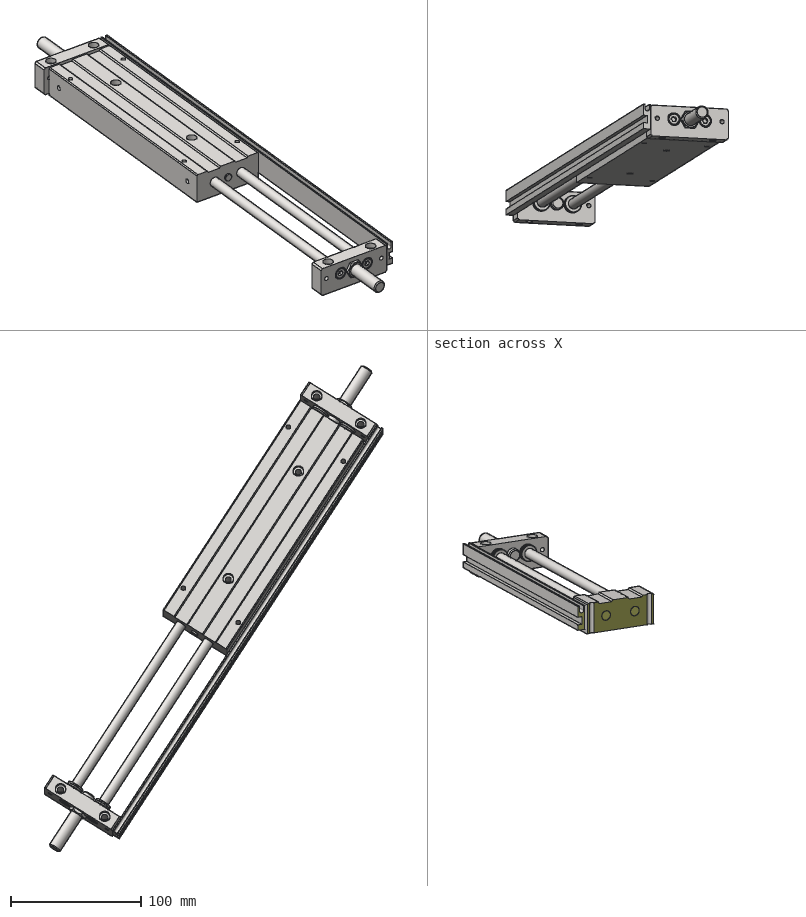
import cadquery as cq
import math


axis_y = -3.0
axis_z = 1.05
rod_diameter = 8.0
rod_offset = 12.5
rod_places = [axis_y - rod_offset, axis_y + rod_offset]

hexagon_sides = 6

plate_thickness = 12.0
plate_outer_x = 189.0
plate_inner_x = plate_outer_x - plate_thickness
plate_width = 62.0
plate_bottom_z = -13.0
plate_height = 24.0
plate_top_z = plate_bottom_z + plate_height
plate_chamfer = 1.5
plate_middle_x = plate_outer_x - plate_thickness / 2
mount_offset = 20.0
mount_diameter = 5.0
mount_bore_diameter = 8.0
mount_bore_depth = 4.5
side_hole_offset = 26.0
side_hole_diameter = 3.3

screw_bore_diameter = 10.0
screw_bore_depth = 2.5
screw_head_diameter = 8.0
screw_socket_diameter = 4.2

collar_diameter = 13.0
collar_length = 4.0
collar_groove_diameter = 11.5
collar_groove_width = collar_length / 3

rail_end_setback = 0.5
rail_length = 2 * (plate_outer_x - rail_end_setback)
rail_inner_y = axis_y + plate_width / 2
rail_outer_y = 34.0
rail_top_z = 11.5
rail_bottom_z = -7.5
rail_slot_depth = 3.0
rail_slot_height = 6.0
rail_groove_diameter = 3.3
rail_groove_y = 31.0
rail_groove_z = 8.0

housing_left_x = collar_length - plate_inner_x
housing_length = 195.5
housing_middle_x = housing_left_x + housing_length / 2
housing_width = 58.0
housing_bottom_z = -11.5
housing_top_z = 13.0
housing_chamfer = 1.0
recess_depth = 1.5
recess_inner = 6.5
recess_outer = 19.0
recess_slope = 1.0
centre_hole_pitch = 100.0
centre_hole_diameter = 4.5
centre_bore_diameter = 8.0
centre_bore_depth = 4.5
corner_hole_pitch_x = 150.0
corner_hole_pitch_y = 50.0
corner_hole_diameter = 3.4
flank_hole_pitch = 170.0
flank_hole_diameter = 3.7
flank_hole_depth = 6.5
stop_diameter = 6.0
stop_length = 1.5

shock_diameter = 10.0
shock_outer_x = 223.5
shock_length = shock_outer_x - plate_inner_x + collar_length
shock_chamfer = 1.0
nut_across_flats = 13.0
nut_thickness = 2.5
nut_chamfer = 1.5


def cylinder_x(diameter, start_x, length, y, z=axis_z):
    """Cylinder along +X that starts at start_x."""
    return (
        cq.Workplane("YZ", origin=(start_x, y, z))
        .circle(diameter / 2)
        .extrude(length)
    )


def cylinder_y(diameter, x, start_y, length, z):
    """Cylinder along +Y that starts at start_y."""
    return (
        cq.Workplane("XZ", origin=(x, start_y, z))
        .circle(diameter / 2)
        .extrude(-length)
    )


def stepped_hole(x, y, top_z, diameter, bore_diameter, bore_depth, depth):
    """Cutter for a vertical hole with a counterbore at its top."""
    hole = cq.Workplane("XY", origin=(x, y, top_z)).circle(diameter / 2).extrude(-depth)
    bore = cq.Workplane("XY", origin=(x, y, top_z)).circle(bore_diameter / 2).extrude(-bore_depth)
    return hole.union(bore)


def make_end_plate():
    """Right-hand end plate with its rod screws and collars."""
    plate = (
        cq.Workplane("XY", origin=(plate_middle_x, axis_y, plate_bottom_z))
        .box(plate_thickness, plate_width, plate_height, centered=(True, True, False))
        .edges("|X")
        .chamfer(plate_chamfer)
    )
    plate = plate.cut(cylinder_x(shock_diameter, plate_inner_x, plate_thickness, axis_y))
    for side in (-1, 1):
        plate = plate.cut(stepped_hole(
            plate_middle_x, axis_y + side * mount_offset, plate_top_z,
            mount_diameter, mount_bore_diameter, mount_bore_depth, plate_height,
        ))
        plate = plate.cut(cylinder_x(
            side_hole_diameter, plate_inner_x, plate_thickness, axis_y + side * side_hole_offset,
        ))
    screw_x = plate_outer_x - screw_bore_depth
    collar_x = plate_inner_x - collar_length
    groove_x = collar_x + collar_groove_width
    for y in rod_places:
        plate = plate.cut(cylinder_x(screw_bore_diameter, screw_x, screw_bore_depth, y))
        head = cylinder_x(screw_head_diameter, screw_x, screw_bore_depth, y)
        socket = (
            cq.Workplane("YZ", origin=(screw_x, y, axis_z))
            .polygon(hexagon_sides, screw_socket_diameter)
            .extrude(screw_bore_depth)
        )
        collar = cylinder_x(collar_diameter, collar_x, collar_length, y)
        groove = cylinder_x(collar_diameter, groove_x, collar_groove_width, y).cut(
            cylinder_x(collar_groove_diameter, groove_x, collar_groove_width, y)
        )
        plate = plate.union(head.cut(socket)).union(collar.cut(groove))
    return plate


def make_rail():
    """Rail between the end plates: a round groove along its top and a slot along its outer side."""
    rail = cq.Workplane("XY").box(
        rail_length,
        rail_outer_y - rail_inner_y,
        rail_top_z - rail_bottom_z,
        centered=(True, False, False),
    ).translate((0, rail_inner_y, rail_bottom_z))
    groove = cylinder_x(
        rail_groove_diameter, -rail_length / 2, rail_length, rail_groove_y, rail_groove_z,
    )
    groove_mouth = cq.Workplane("XY").box(
        rail_length,
        rail_groove_diameter,
        rail_top_z - rail_groove_z,
        centered=(True, True, False),
    ).translate((0, rail_groove_y, rail_groove_z))
    slot = cq.Workplane("XY").box(
        rail_length,
        rail_slot_depth,
        rail_slot_height,
        centered=(True, False, True),
    ).translate((0, rail_outer_y - rail_slot_depth, 0))
    return rail.cut(groove).cut(groove_mouth).cut(slot)


def make_frame():
    """End plates, rods and rail as one rigid body."""
    plate = make_end_plate()
    frame = make_rail().union(plate).union(plate.mirror("YZ"))
    for y in rod_places:
        frame = frame.union(cylinder_x(rod_diameter, -plate_inner_x, 2 * plate_inner_x, y))
    return frame


def make_housing():
    """Sliding housing with two shallow recesses along its top."""
    floor_z = housing_top_z - recess_depth
    half_width = housing_width / 2
    outline = [
        (-half_width, housing_bottom_z),
        (half_width, housing_bottom_z),
        (half_width, housing_top_z - housing_chamfer),
        (half_width - housing_chamfer, housing_top_z),
        (recess_outer, housing_top_z),
        (recess_outer - recess_slope, floor_z),
        (recess_inner + recess_slope, floor_z),
        (recess_inner, housing_top_z),
        (-recess_inner, housing_top_z),
        (-recess_inner - recess_slope, floor_z),
        (-recess_outer + recess_slope, floor_z),
        (-recess_outer, housing_top_z),
        (-half_width + housing_chamfer, housing_top_z),
        (-half_width, housing_top_z - housing_chamfer),
    ]
    housing = (
        cq.Workplane("YZ", origin=(housing_left_x, axis_y, 0))
        .polyline(outline)
        .close()
        .extrude(housing_length)
    )
    for y in rod_places:
        housing = housing.cut(cylinder_x(rod_diameter, housing_left_x, housing_length, y))

    height = housing_top_z - housing_bottom_z
    flank_y = axis_y - half_width
    for side in (-1, 1):
        housing = housing.cut(stepped_hole(
            housing_middle_x + side * centre_hole_pitch / 2, axis_y, housing_top_z,
            centre_hole_diameter, centre_bore_diameter, centre_bore_depth, height,
        ))
        housing = housing.cut(cylinder_y(
            flank_hole_diameter, housing_middle_x + side * flank_hole_pitch / 2,
            flank_y, flank_hole_depth, axis_z,
        ))
    corner_holes = (
        cq.Workplane("XY", origin=(housing_middle_x, axis_y, housing_bottom_z))
        .rarray(corner_hole_pitch_x, corner_hole_pitch_y, 2, 2)
        .circle(corner_hole_diameter / 2)
        .extrude(height)
    )
    stop = cylinder_x(stop_diameter, housing_left_x + housing_length, stop_length, axis_y)
    return housing.cut(corner_holes).union(stop)


def make_shock():
    """Right-hand shock absorber: a chamfered cylinder with its lock nut."""
    body = cylinder_x(
        shock_diameter, shock_outer_x - shock_length, shock_length, axis_y,
    ).faces("<X or >X").chamfer(shock_chamfer)
    across_corners = nut_across_flats / math.cos(math.pi / 6)
    nut = (
        cq.Workplane("YZ", origin=(plate_outer_x, axis_y, axis_z))
        .polygon(hexagon_sides, across_corners)
        .extrude(nut_thickness)
    )
    rounding = cylinder_x(across_corners, plate_outer_x, nut_thickness, axis_y)
    rounding = rounding.faces(">X").chamfer(nut_chamfer)
    return body.union(nut.intersect(rounding))


frame = make_frame()
housing = make_housing()
right_shock = make_shock()
left_shock = right_shock.mirror("YZ")

result = cq.Compound.makeCompound([
    frame.val(),
    housing.val(),
    right_shock.val(),
    left_shock.val(),
])